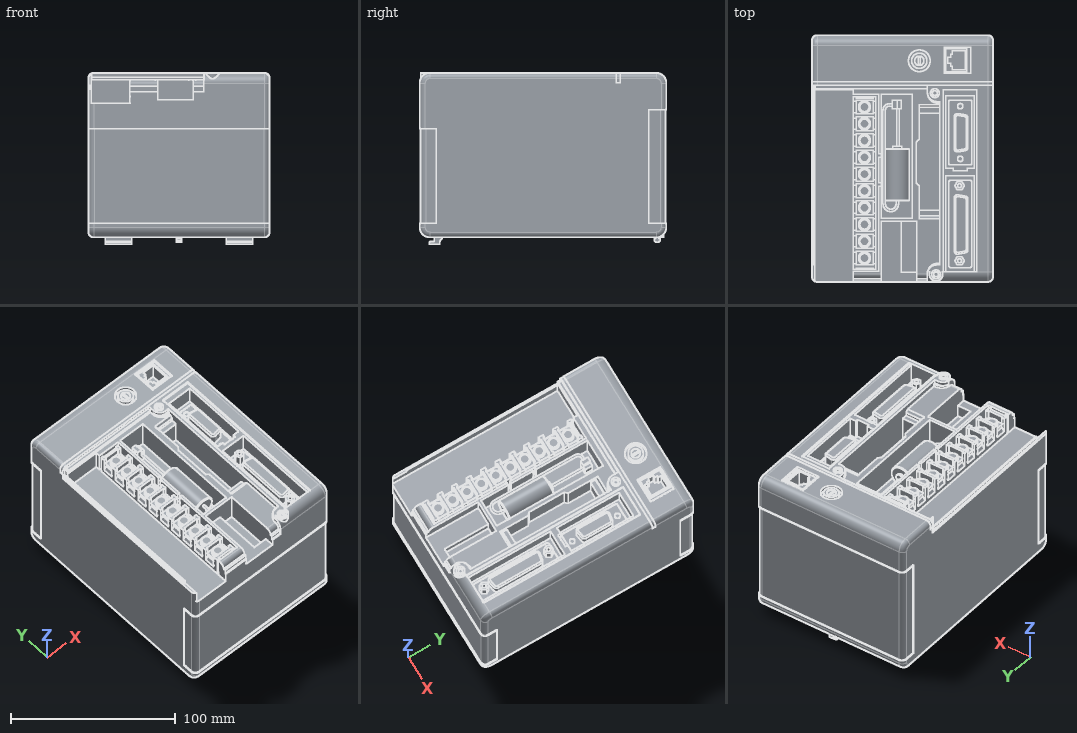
import cadquery as cq
import math


WIDTH = 110.2
LENGTH = 150.0
HEIGHT = 100.0
OVERALL_HEIGHT = 104.2
END_RADIUS = 6.3
SIDE_RADIUS = 3.3
HALF_W = WIDTH / 2
HALF_L = LENGTH / 2
ROOF_FRONT = -HALF_L + END_RADIUS

BAND_DEPTH = 0.5
BAND_BOTTOM = 8.5
REAR_BAND_TOP = 77.7
FRONT_BAND_TOP = 66.1
REAR_BAND_WRAP = 10.6
FRONT_BAND_WRAP = 10.0

SEAM_REAR = 46.8
SEAM_FRONT = 44.5
SEAM_DEPTH = 0.1
SEAM_BOTTOM = 94.0

DECK_Z = 95.7
DECK_LEFT = -53.1
DECK_RIGHT = 22.6
DECK_REAR = 42.5
LEDGE_Z = 97.3
DECK_NOSE_X = 15.1
NOSE_START = -69.9
NOSE_RADIUS = 3.1
NOSE_STEP_Z = 92.0
NOSE_FACE = -74.4
NOSE_BOTTOM = 88.6

BOSS_FRONT_EDGE = 34.6
BOSS_REAR_EDGE = -64.6
BOSS_FOOT = 1.0
BOSS_RADIUS = 5.4
REAR_SCREW = (19.6, 39.7)
FRONT_SCREW = (20.4, -70.3)
PAD_RADIUS = 4.0
SCREW_RADIUS = 2.7
SOCKET_RADIUS = 1.5
SCREW_SINK = 0.6
SOCKET_DEPTH = 2.2

BAY_LEFT = -53.4
BAY_RIGHT = -29.8
BAY_REAR = 41.8
BAY_FLOOR = 81.5
SIDE_WALL_Z = 90.1
LIP_Z = 92.4
LIP_WIDTH = 0.6
LIP_FRONT = -64.5

TERM_BAY_REAR = 39.0
TERM_BAY_FRONT = -68.4
TERM_BAY_RIGHT = -14.5
TERM_REAR = 37.5
TERM_FRONT = -67.3
TERM_RIGHT = -16.2
TERM_TOP = 95.2
TERM_SHELF = 90.0
TERM_BACK_DROP = 0.7
TERM_COUNT = 10
TERM_PITCH = 10.2
TERM_MID = -14.5
CELL_LENGTH = 8.4
CELL_BACK = -17.8
POST_DEPTH = 1.6
POST_GAP = 6.9
RAMP_LOW = 85.3
RAMP_HIGH = 87.7
END_TRIM = 0.7
TERM_SCREW_X = -23.1
TERM_SCREW_RADIUS = 3.6
TERM_SCREW_HEIGHT = 2.2
TERM_SCREW_CHAMFER = 0.7

DEEP_FLOOR = 75.5
BATTERY_BAY_LEFT = -12.9
BATTERY_BAY_RIGHT = 5.8
BATTERY_BAY_REAR = 39.0
BATTERY_BAY_FRONT = -36.1
PARTITION_SLOT_WIDTH = 2.1
PARTITION_SLOTS = (1.8, -15.7)
CABLE_BAY_RIGHT = 8.5
CABLE_BAY_REAR = -38.1
CABLE_FLOOR = 83.7
CABLE_PIT_LEFT = -0.9
CABLE_PIT_FRONT = -69.0

CARD_LEFT = 10.0
CARD_REAR = 32.7
CARD_FRONT = -36.5
CARD_SLOPE = 1.6
CARD_LEDGE_Z = 91.8
CARD_LEDGE = 3.5
CARD_BULGE = 1.6
CARD_BULGE_REAR = 11.7
CARD_BULGE_FRONT = -16.5

FRAME_LEFT = 24.7
FRAME_RIGHT = 45.1
FRAME_REAR = 41.8
FRAME_Z = 98.7
CONN_LEFT = 26.4
CONN_RIGHT = 43.5
CONN_FLOOR = 85.5
CONN1_REAR = 38.1
CONN1_FRONT = -5.8
CONN2_REAR = -10.3
TAB_LEFT = 30.7
TAB_RIGHT = 39.3
TAB_FRONT = -7.5
PLATE_LEFT = 28.0
PLATE_RIGHT = 42.1
PLATE_Z = 86.4
PLATE1_SPAN = (-3.7, 35.4)
PLATE1_RADIUS = 0.7
PLATE2_SPAN = (-66.3, -13.0)
PLATE2_RADIUS = 1.5
SHELL_LEFT = 31.3
SHELL_RIGHT = 39.7
SHELL1_SPAN = (3.6, 27.7)
SHELL2_SPAN = (-58.5, -21.6)
SHELL_TOP = 94.3
SHELL_RIM = 1.0
SHELL_CORNER = 2.1
SHELL_SKEW = 1.5
FIXING1_X = 35.1
FIXING1_Y = (31.8, -0.1)
FIXING1_RADIUS = 1.6
FIXING2_X = 34.6
FIXING2_Y = (-16.5, -62.1)
FIXING2_FLATS = 5.0
FIXING2_TOP = 94.5
FIXING2_HOLE = 1.2

KEY_X = 10.2
KEY_Y = 59.4
KEY_RADII = (2.8, 4.6, 6.6)
KEY_GROOVE_DEPTH = 3.0
KEY_PLUG_DEPTH = 0.6
KEY_SLOT = (1.0, 4.5)
JACK_LEFT = 25.3
JACK_SIDE = 16.0
JACK_Y = 59.7
JACK_RECESS = 1.8
JACK_BODY = (12.7, 13.8)
JACK_MARGIN = 1.0
JACK_FACE_Z = 99.5
JACK_DEPTH = 12.0
JACK_MOUTH_RIGHT = 38.2
JACK_STEPS = ((30.3, 11.5), (29.2, 7.5), (27.6, 3.7))

FOOT_WIDTH = 16.2
FOOT_X = 36.7
FOOT_DROP = OVERALL_HEIGHT - HEIGHT
FOOT_PROFILE = (
    (-60.9, 0.7), (-60.9, 0), (-62.7, -2.4), (-62.7, -FOOT_DROP), (-69.1, -FOOT_DROP),
    (-69.1, -3.0), (-68.5, -2.4), (-66.1, -2.4), (-66.1, 0.7),
)
LATCH_WIDTH = 3.1
LATCH_PROFILE = (
    (73.5, 3.7), (73.5, 0), (70.5, 0), (70.5, -0.6), (71.2, -0.9), (71.2, -2.1), (70.0, -3.0),
    (68.7, -3.0), (67.5, -2.1), (67.5, -0.9), (68.2, -0.6), (68.2, 3.7),
)

CELL_RADIUS = 7.3
CELL_X = -3.1
CELL_Z = DEEP_FLOOR + CELL_RADIUS
CELL_REAR = 6.0
CELL_FRONT = -25.6
CELL_CHAMFER = 0.5
NUB_RADIUS = 2.7
NUB_HEIGHT = 1.3
WIRE_RADIUS = 0.7
WIRE_A_X = -11.1
WIRE_B_X = -2.8
WIRE_A_Z = CELL_Z + 2.2
WIRE_B_Z = CELL_Z - 1.5
WIRE_TURN_Y = -31.5
WIRE_ENTRY = 2.2
WIRE_HOOK = 3.0
PLUG_LEFT = -6.3
PLUG_RIGHT = -0.9
PLUG_REAR = 35.4
PLUG_FRONT = 30.3
PLUG_TOP = 83.4
PLUG_CAP_RIGHT = -3.3
PLUG_CAP_TOP = 86.1

ABOVE = HEIGHT + 1.5
OUTSIDE = HALF_L + 1.5


def block(x0, x1, y0, y1, z0, z1):
    """Box between opposite corners."""
    return cq.Workplane("XY").box(x1 - x0, y1 - y0, z1 - z0, centered=False).translate((x0, y0, z0))


def rod(x, y, radius, z0, z1):
    """Upright cylinder."""
    return cq.Workplane("XY", origin=(x, y, z0)).circle(radius).extrude(z1 - z0)


def slab(points, x0, x1):
    """Profile of (y, z) points carried along X from x0 to x1."""
    return cq.Workplane("YZ", origin=(x0, 0, 0)).polyline(points).close().extrude(x1 - x0)



def make_shell():
    shell = block(-HALF_W, HALF_W, -HALF_L, HALF_L, 0, HEIGHT)
    shell = shell.edges("|X").fillet(END_RADIUS)
    return shell.faces("<X or >X").edges().fillet(SIDE_RADIUS)


def end_band(y0, y1, top):
    """Skin removed round one end of the housing, between two heights."""
    region = block(-OUTSIDE, OUTSIDE, y0, y1, BAND_BOTTOM, top)
    core = cq.Workplane("XY").rect(WIDTH - 2 * BAND_DEPTH, LENGTH - 2 * BAND_DEPTH).extrude(HEIGHT)
    return region.cut(core.edges("|Z").fillet(SIDE_RADIUS))


def seam_groove():
    region = block(-OUTSIDE, OUTSIDE, SEAM_FRONT, SEAM_REAR, SEAM_BOTTOM, ABOVE)
    core = cq.Workplane("XZ", origin=(0, OUTSIDE, 0)).rect(
        WIDTH - 2 * SEAM_DEPTH, 2 * (HEIGHT - SEAM_DEPTH)).extrude(2 * OUTSIDE)
    return region.cut(core.edges("|Y").fillet(SIDE_RADIUS))


def boss(y0, y1, corner, top, radius):
    """Tier of a screw boss: one left-hand corner rounded, seen from above."""
    tier = block(DECK_NOSE_X, DECK_RIGHT + 1.5, y0, y1, DECK_Z, top)
    return tier.edges("|Z and <X").edges(corner).fillet(radius)


def cut_deck(body):
    """Sink the deck, leaving two-tier screw bosses at its right-hand corners."""
    deck = block(DECK_LEFT, DECK_RIGHT, ROOF_FRONT, DECK_REAR, DECK_Z, ABOVE)
    deck = deck.union(block(DECK_LEFT, DECK_NOSE_X, ROOF_FRONT, SEAM_FRONT, LEDGE_Z, ABOVE))
    for top, reach in ((HEIGHT, 0), (LEDGE_Z, BOSS_FOOT)):
        radius = BOSS_RADIUS + reach
        deck = deck.cut(boss(BOSS_FRONT_EDGE - reach, OUTSIDE, "<Y", top, radius))
        deck = deck.cut(boss(-OUTSIDE, BOSS_REAR_EDGE + reach, ">Y", top, radius))
    return body.cut(deck).cut(deck_nose())


def deck_nose():
    """Space in front of the deck's rounded and stepped front edge."""
    arc_end = NOSE_START - NOSE_RADIUS
    diagonal = NOSE_RADIUS * math.sqrt(0.5)
    arc_z = DECK_Z - NOSE_RADIUS
    return (
        cq.Workplane("YZ", origin=(DECK_LEFT, 0, 0))
        .moveTo(ROOF_FRONT, ABOVE)
        .lineTo(ROOF_FRONT, DECK_Z)
        .lineTo(NOSE_START, DECK_Z)
        .threePointArc((NOSE_START - diagonal, arc_z + diagonal), (arc_end, arc_z))
        .lineTo(arc_end, NOSE_STEP_Z)
        .lineTo(NOSE_FACE, NOSE_STEP_Z)
        .lineTo(NOSE_FACE, NOSE_BOTTOM)
        .lineTo(-OUTSIDE, NOSE_BOTTOM)
        .lineTo(-OUTSIDE, ABOVE)
        .close()
        .extrude(DECK_NOSE_X - DECK_LEFT)
    )


def add_boss_screws(body):
    """Round pad over the front edge, and a sunk screw in each boss."""
    body = body.union(rod(*FRONT_SCREW, PAD_RADIUS, NOSE_BOTTOM, HEIGHT))
    for place in (REAR_SCREW, FRONT_SCREW):
        body = body.cut(rod(*place, SCREW_RADIUS, HEIGHT - SCREW_SINK, ABOVE))
        body = body.cut(rod(*place, SOCKET_RADIUS, HEIGHT - SOCKET_DEPTH, ABOVE))
    return body


def cut_wiring_bay(body):
    """Bay along the left side, open at the front, with a low outer wall that carries a lip."""
    body = body.cut(block(BAY_LEFT, BAY_RIGHT, -OUTSIDE, BAY_REAR, BAY_FLOOR, ABOVE))
    rim = block(-OUTSIDE, BAY_LEFT, -OUTSIDE, SEAM_FRONT, SIDE_WALL_Z, ABOVE)
    lip = block(BAY_LEFT - LIP_WIDTH, BAY_LEFT, LIP_FRONT, SEAM_FRONT, SIDE_WALL_Z, LIP_Z)
    return body.cut(rim.cut(lip))


def terminal_cell(y):
    """Space above one terminal, with the ramp below its front opening."""
    half = CELL_LENGTH / 2
    gap = POST_GAP / 2
    post_back = BAY_RIGHT + POST_DEPTH
    space = block(post_back, CELL_BACK, y - half, y + half, TERM_SHELF, ABOVE)
    space = space.union(block(CELL_BACK, TERM_RIGHT, y - gap, y + gap,
                              TERM_SHELF - TERM_BACK_DROP, ABOVE))
    ramp = (
        cq.Workplane("XZ", origin=(0, y + gap, 0))
        .polyline([(BAY_RIGHT, RAMP_LOW), (post_back, RAMP_HIGH), (post_back, ABOVE), (BAY_RIGHT, ABOVE)])
        .close()
        .extrude(POST_GAP)
    )
    return space.union(ramp)


def terminal_screw(y):
    head = rod(TERM_SCREW_X, y, TERM_SCREW_RADIUS, TERM_SHELF, TERM_SHELF + TERM_SCREW_HEIGHT)
    return head.faces(">Z").chamfer(TERM_SCREW_CHAMFER)


def add_terminal_block(body):
    body = body.cut(block(BAY_RIGHT, TERM_BAY_RIGHT, TERM_BAY_FRONT, TERM_BAY_REAR, BAY_FLOOR, ABOVE))
    strip = block(BAY_RIGHT, TERM_RIGHT, TERM_FRONT, TERM_REAR, BAY_FLOOR, TERM_TOP)
    for y0, y1 in ((TERM_REAR - END_TRIM, TERM_REAR), (TERM_FRONT, TERM_FRONT + END_TRIM)):
        strip = strip.cut(block(BAY_RIGHT + POST_DEPTH, CELL_BACK, y0, y1, TERM_SHELF, ABOVE))
    for i in range(TERM_COUNT):
        y = TERM_MID + (i - (TERM_COUNT - 1) / 2) * TERM_PITCH
        strip = strip.cut(terminal_cell(y)).union(terminal_screw(y))
    return body.union(strip)


def cut_battery_bay(body):
    body = body.cut(block(BATTERY_BAY_LEFT, BATTERY_BAY_RIGHT, BATTERY_BAY_FRONT, BATTERY_BAY_REAR,
                          DEEP_FLOOR, ABOVE))
    for y in PARTITION_SLOTS:
        half = PARTITION_SLOT_WIDTH / 2
        body = body.cut(block(TERM_BAY_RIGHT, BATTERY_BAY_LEFT, y - half, y + half, BAY_FLOOR, ABOVE))
    return body


def cut_cable_bay(body):
    """Bay open at the front, with a deeper pit in its right half."""
    body = body.cut(block(BATTERY_BAY_LEFT, CABLE_BAY_RIGHT, -OUTSIDE, CABLE_BAY_REAR, CABLE_FLOOR, ABOVE))
    return body.cut(block(CABLE_PIT_LEFT, CABLE_BAY_RIGHT, CABLE_PIT_FRONT, CABLE_BAY_REAR,
                          DEEP_FLOOR, ABOVE))


def cut_card_bay(body):
    """Deep bay with a slope and a ledge at both ends, and a bulge in its left wall."""
    slope_z = DECK_Z - CARD_SLOPE
    rear_step = CARD_REAR - CARD_SLOPE
    front_step = CARD_FRONT + CARD_SLOPE
    rear_wall = rear_step - CARD_LEDGE
    front_wall = front_step + CARD_LEDGE
    profile = [
        (CARD_REAR, DECK_Z), (rear_step, slope_z), (rear_step, CARD_LEDGE_Z), (rear_wall, CARD_LEDGE_Z),
        (rear_wall, DEEP_FLOOR), (front_wall, DEEP_FLOOR), (front_wall, CARD_LEDGE_Z),
        (front_step, CARD_LEDGE_Z), (front_step, slope_z), (CARD_FRONT, DECK_Z),
    ]
    bulge = cq.Workplane("XY", origin=(0, 0, DEEP_FLOOR)).polyline([
        (CARD_LEFT, CARD_BULGE_REAR),
        (CARD_LEFT - CARD_BULGE, CARD_BULGE_REAR - CARD_BULGE),
        (CARD_LEFT - CARD_BULGE, CARD_BULGE_FRONT + CARD_BULGE),
        (CARD_LEFT, CARD_BULGE_FRONT),
    ]).close().extrude(DECK_Z - DEEP_FLOOR)
    return body.cut(slab(profile, CARD_LEFT, DECK_RIGHT)).cut(bulge)


def connector_plate(span, radius):
    plate = block(PLATE_LEFT, PLATE_RIGHT, span[0], span[1], CONN_FLOOR, PLATE_Z)
    return plate.edges("|Z").fillet(radius)


def connector_shell(span):
    """D-shaped plug shell: one long side shorter than the other, top edge bevelled."""
    y0, y1 = span
    outline = cq.Workplane("XY", origin=(0, 0, PLATE_Z)).polyline([
        (SHELL_LEFT, y0), (SHELL_RIGHT, y0 + SHELL_SKEW),
        (SHELL_RIGHT, y1 - SHELL_SKEW), (SHELL_LEFT, y1),
    ]).close()
    shell = outline.extrude(SHELL_TOP - PLATE_Z)
    return shell.edges("|Z").fillet(SHELL_CORNER).faces(">Z").chamfer(SHELL_RIM)


def jack_post(y):
    """Threaded hexagonal post beside a connector."""
    across_corners = FIXING2_FLATS / math.cos(math.pi / 6)
    post = cq.Workplane("XY", origin=(FIXING2_X, y, PLATE_Z)).polygon(6, across_corners)
    return post.extrude(FIXING2_TOP - PLATE_Z).faces(">Z").workplane().hole(
        2 * FIXING2_HOLE, FIXING2_TOP - PLATE_Z)


def add_connectors(body):
    body = body.cut(block(FRAME_LEFT, FRAME_RIGHT, ROOF_FRONT, FRAME_REAR, FRAME_Z, ABOVE))
    body = body.cut(block(CONN_LEFT, CONN_RIGHT, CONN1_FRONT, CONN1_REAR, CONN_FLOOR, ABOVE))
    body = body.cut(block(TAB_LEFT, TAB_RIGHT, TAB_FRONT, CONN1_FRONT, CONN_FLOOR, ABOVE))
    body = body.cut(block(CONN_LEFT, CONN_RIGHT, ROOF_FRONT, CONN2_REAR, CONN_FLOOR, ABOVE))

    body = body.union(connector_plate(PLATE1_SPAN, PLATE1_RADIUS)).union(connector_shell(SHELL1_SPAN))
    for y in FIXING1_Y:
        body = body.cut(rod(FIXING1_X, y, FIXING1_RADIUS, CONN_FLOOR, ABOVE))

    body = body.union(connector_plate(PLATE2_SPAN, PLATE2_RADIUS)).union(connector_shell(SHELL2_SPAN))
    for y in FIXING2_Y:
        body = body.union(jack_post(y))
    return body


def cut_key_switch(body):
    plug, collar, groove = KEY_RADII
    ring = rod(KEY_X, KEY_Y, groove, HEIGHT - KEY_GROOVE_DEPTH, ABOVE)
    body = body.cut(ring.cut(rod(KEY_X, KEY_Y, collar, 0, HEIGHT)))
    body = body.cut(rod(KEY_X, KEY_Y, plug, HEIGHT - KEY_PLUG_DEPTH, ABOVE))
    width, length = KEY_SLOT
    return body.cut(block(KEY_X - width / 2, KEY_X + width / 2, KEY_Y - length / 2, KEY_Y + length / 2,
                          HEIGHT - KEY_GROOVE_DEPTH, ABOVE))


def add_network_jack(body):
    """Square recess holding the jack face, with a stepped mouth."""
    half = JACK_SIDE / 2
    body = body.cut(block(JACK_LEFT, JACK_LEFT + JACK_SIDE, JACK_Y - half, JACK_Y + half,
                          HEIGHT - JACK_RECESS, ABOVE))
    left = JACK_LEFT + JACK_MARGIN
    size_x, size_y = JACK_BODY
    body = body.union(block(left, left + size_x, JACK_Y - size_y / 2, JACK_Y + size_y / 2,
                            HEIGHT - JACK_RECESS, JACK_FACE_Z))
    for edge, size in JACK_STEPS:
        body = body.cut(block(edge, JACK_MOUTH_RIGHT, JACK_Y - size / 2, JACK_Y + size / 2,
                              HEIGHT - JACK_DEPTH, ABOVE))
    return body


def add_feet(body):
    for x in (-FOOT_X, FOOT_X):
        body = body.union(slab(FOOT_PROFILE, x - FOOT_WIDTH / 2, x + FOOT_WIDTH / 2))
    return body.union(slab(LATCH_PROFILE, -LATCH_WIDTH / 2, LATCH_WIDTH / 2))


def make_housing():
    body = make_shell()
    body = body.cut(end_band(HALF_L - REAR_BAND_WRAP, OUTSIDE, REAR_BAND_TOP))
    body = body.cut(end_band(-OUTSIDE, -HALF_L + FRONT_BAND_WRAP, FRONT_BAND_TOP))
    body = body.cut(seam_groove())
    body = cut_deck(body)
    body = add_boss_screws(body)
    body = cut_wiring_bay(body)
    body = add_terminal_block(body)
    body = cut_battery_bay(body)
    body = cut_cable_bay(body)
    body = cut_card_bay(body)
    body = add_connectors(body)
    body = cut_key_switch(body)
    body = add_network_jack(body)
    return add_feet(body)



def wire(path, start, normal):
    """Round wire swept along a path."""
    return cq.Workplane(cq.Plane(origin=start, normal=normal)).circle(WIRE_RADIUS).sweep(path)


def make_wire_a():
    """Leaves the front of the cell, turns back along its side and hooks into the plug."""
    start = (CELL_X, CELL_FRONT + WIRE_RADIUS, WIRE_A_Z)
    turn = (CELL_X - WIRE_A_X) / 2
    plug_y = PLUG_FRONT + WIRE_ENTRY
    hook_y = plug_y - WIRE_HOOK
    inset = WIRE_HOOK * (1 - math.sqrt(0.5))
    path = (
        cq.Workplane("XY", origin=(0, 0, WIRE_A_Z))
        .moveTo(start[0], start[1])
        .lineTo(CELL_X, WIRE_TURN_Y + turn)
        .threePointArc(((CELL_X + WIRE_A_X) / 2, WIRE_TURN_Y), (WIRE_A_X, WIRE_TURN_Y + turn))
        .lineTo(WIRE_A_X, hook_y)
        .threePointArc((WIRE_A_X + inset, plug_y - inset), (WIRE_A_X + WIRE_HOOK, plug_y))
        .lineTo(PLUG_LEFT + WIRE_RADIUS, plug_y)
        .wire()
    )
    return wire(path, start, (0, -1, 0))


def make_battery():
    cell = cq.Workplane("XZ", origin=(CELL_X, CELL_REAR, CELL_Z)).circle(CELL_RADIUS)
    cell = cell.extrude(CELL_REAR - CELL_FRONT).faces("<Y or >Y").chamfer(CELL_CHAMFER)
    nub = cq.Workplane("XZ", origin=(CELL_X, CELL_REAR + NUB_HEIGHT, CELL_Z)).circle(NUB_RADIUS)
    cell = cell.union(nub.extrude(2 * NUB_HEIGHT))

    plug = block(PLUG_LEFT, PLUG_RIGHT, PLUG_FRONT, PLUG_REAR, DEEP_FLOOR, PLUG_TOP)
    plug = plug.union(block(PLUG_LEFT, PLUG_CAP_RIGHT, PLUG_FRONT, PLUG_REAR, PLUG_TOP, PLUG_CAP_TOP))

    wire_b = cq.Workplane("XZ", origin=(WIRE_B_X, PLUG_FRONT + WIRE_RADIUS, WIRE_B_Z)).circle(WIRE_RADIUS)
    wire_b = wire_b.extrude(PLUG_FRONT + WIRE_RADIUS - CELL_REAR)
    return cell.union(plug).union(wire_b).union(make_wire_a())


housing = make_housing()
battery = make_battery()

result = cq.Compound.makeCompound([housing.solids().val(), battery.solids().val()])